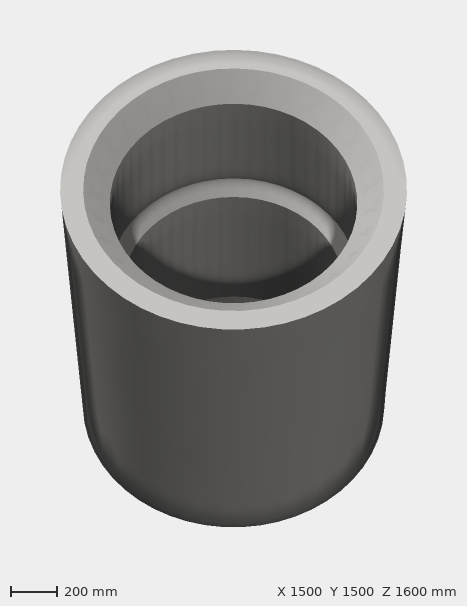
import cadquery as cq

height = 1600.0
top_diameter = 1500.0
base_diameter = 1300.0
base_fillet = 30.0

mouth_diameter = 1300.0
bore_diameter = 1070.0
seat_diameter = 950.0
outlet_diameter = 710.0
mouth_depth = 100.0
bore_depth = 646.0
seat_depth = 700.0
outlet_height = 171.0


def revolve_profile(points):
    """Revolve a closed (radius, height) outline about the Z axis."""
    return cq.Workplane("XZ").polyline(points).close().revolve(360, (0, 0), (0, 1))


body = revolve_profile([
    (0, 0),
    (base_diameter / 2, 0),
    (top_diameter / 2, height),
    (0, height),
]).faces("<Z").edges().fillet(base_fillet)

bore = revolve_profile([
    (0, 0),
    (outlet_diameter / 2, 0),
    (seat_diameter / 2, outlet_height),
    (seat_diameter / 2, height - seat_depth),
    (bore_diameter / 2, height - bore_depth),
    (bore_diameter / 2, height - mouth_depth),
    (mouth_diameter / 2, height),
    (0, height),
])

result = body.cut(bore)